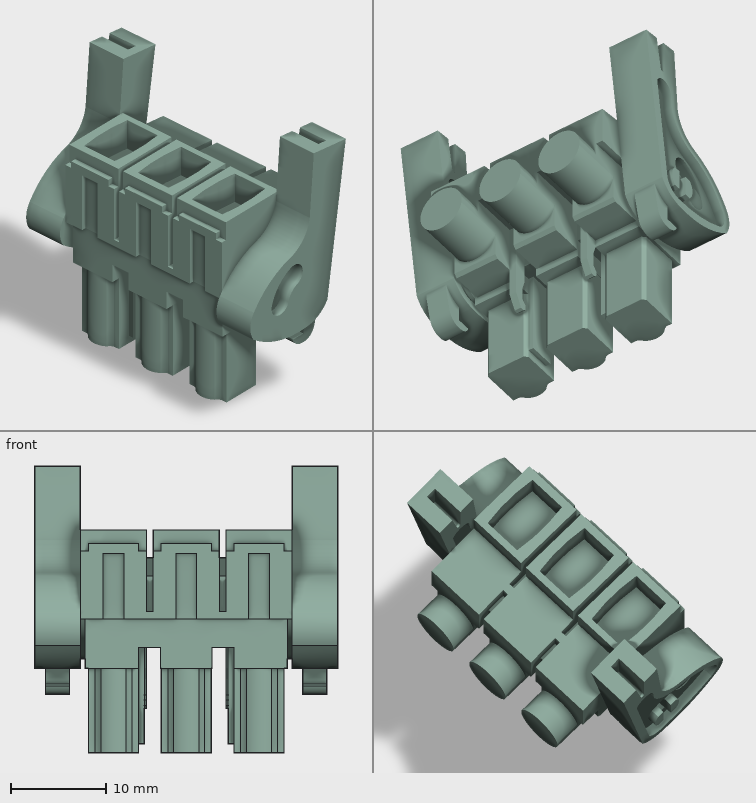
import cadquery as cq
import math


POLE_COUNT = 3
POLE_PITCH = 7.62
POLE_HALF_WIDTH = 2.65
POLE_CENTERS = [(i - (POLE_COUNT - 1) / 2) * POLE_PITCH for i in range(POLE_COUNT)]

TOTAL_WIDTH = 31.75
LEVER_WIDTH = 4.8
HOUSING_HALF_WIDTH = TOTAL_WIDTH / 2 - LEVER_WIDTH
SIDE_PAD_THICKNESS = 0.48
FRAME_HALF_WIDTH = HOUSING_HALF_WIDTH - SIDE_PAD_THICKNESS
OUTER_POLES = [POLE_CENTERS[0], POLE_CENTERS[-1]]

FACE_Y = 0.65
TALL_REAR_Y = 8.92
COVER_REAR_Y = 15.25
HOUSING_TOP_Z = 23.35
COVER_FRONT_Z = 20.63
COVER_REAR_Z = 19.93
COVER_BOTTOM_Z = 15.45
PLATE_BOTTOM_Z = 14.03
PLATE_SHOULDER_Z = 21.15
PLATE_TOP_Z = 21.93
FACE_SLOT_WIDTH = 2.15
FACE_SLOT_TOP_Z = 20.85
FACE_SLOT_DEPTH = 0.55

GAP_WIDTH = 0.7
GAP_CENTERS = [(a + b) / 2 for a, b in zip(POLE_CENTERS, POLE_CENTERS[1:])]
GAP_FLOOR_Z = 18.5
FRONT_GAP_FLOOR_Z = 14.8
FRONT_GAP_DEPTH = 1.5
BRIDGE_FRONT_Y = 10.7
BRIDGE_REAR_Y = 11.62
WEB_REAR_Y = 13.8

WELL_FRONT_Y = 1.5
WELL_REAR_Y = 8.2
WELL_END_HALF_WIDTH = 2.15
WELL_MID_HALF_WIDTH = 2.4
WELL_DEPTH = 3.55

FRAME_REAR_Y = 8.05
FRAME_BOTTOM_Z = 8.85
NOTCH_WIDTH = 2.3
NOTCH_TOP_Z = 11.0
POST_FRONT_Y = 0.73
POST_REAR_Y = 6.6
POST_SHOULDER_Y = 1.65
POST_SHOULDER_HALF_WIDTH = 1.95
POST_ARC_HALF_WIDTH = 1.33
POST_ARC_Y = 1.17
POST_FLANK_MIDDLE = (1.6, 1.45)
POST_CHAMFER = 0.38
RIB_WIDTH = 0.6
RIB_FRONT_Y = 3.17
RIB_BOTTOM_Z = 0.95
LATCH_WIDTH = 0.83

PIVOT = (7.4, 12.75)
PIVOT_RADIUS = 1.5
PIVOT_PAD_RADIUS = 2.92
PEG = (3.8, 13.7)
PEG_RADIUS = 1.33
PEG_PAD_RADIUS = 1.9
PEG_RECESS = 0.1
PIVOT_HEAD_RADIUS = 1.8
PIVOT_HEAD_HALF_HEIGHT = 1.25
PIVOT_HEAD_THICKNESS = 0.95
PIVOT_SPLIT_WIDTH = 1.1
PIVOT_SPLIT_DEPTH = 2.55

LEVER_POCKET_DEPTH = 1.08
LEVER_FLOOR = LEVER_WIDTH - LEVER_POCKET_DEPTH
LEVER_SLIT_DEPTH = 3.7
LEVER_HOOK_OFFSET = 1.1
LEVER_HOOK_WIDTH = 2.55
GUIDE_SWEEP = 53.0

PLUG_REAR_Y = 18.22
PLUG_RADIUS = 2.67
PLUG_AXIS_Z = 13.5
PLUG_BLOCK_REAR_Y = 12.15
PLUG_BLOCK_BOTTOM_Z = 9.8
PLUG_BLOCK_CHAMFER = 0.38


def box(x0, x1, y0, y1, z0, z1):
    """Box given by its limits."""
    return cq.Workplane("XY", origin=(x0, y0, z0)).box(x1 - x0, y1 - y0, z1 - z0, centered=False)


def side_plane(x):
    """Workplane at X = x whose sketch axes are Y and Z and which extrudes toward +X."""
    return cq.Workplane("YZ", origin=(x, 0, 0))


def disc(center, radius, x0, x1):
    """Cylinder along X around a (Y, Z) centre."""
    return side_plane(x0).center(*center).circle(radius).extrude(x1 - x0)


def polar(center, radius, angle):
    """(Y, Z) point at an angle in degrees from +Y around a centre."""
    turn = math.radians(angle)
    return (center[0] + radius * math.cos(turn), center[1] + radius * math.sin(turn))


def housing_shell():
    """Tall front part with the sloped rear cover, and the frame below them."""
    upper = (
        side_plane(-HOUSING_HALF_WIDTH)
        .polyline([
            (FACE_Y, PLATE_BOTTOM_Z),
            (FACE_Y, HOUSING_TOP_Z),
            (TALL_REAR_Y, HOUSING_TOP_Z),
            (TALL_REAR_Y, COVER_FRONT_Z),
            (COVER_REAR_Y, COVER_REAR_Z),
            (COVER_REAR_Y, COVER_BOTTOM_Z),
            (FRAME_REAR_Y, COVER_BOTTOM_Z),
            (FRAME_REAR_Y, PLATE_BOTTOM_Z),
        ])
        .close()
        .extrude(2 * HOUSING_HALF_WIDTH)
    )
    frame = box(
        -FRAME_HALF_WIDTH, FRAME_HALF_WIDTH, FACE_Y, FRAME_REAR_Y, FRAME_BOTTOM_Z, PLATE_BOTTOM_Z
    )
    return upper.union(frame)


def front_plate():
    """Raised plate on the front face, with a taller tab and an open slot at each pole."""
    plate = box(-HOUSING_HALF_WIDTH, HOUSING_HALF_WIDTH, 0, FACE_Y, PLATE_BOTTOM_Z, PLATE_SHOULDER_Z)
    for x in POLE_CENTERS:
        slot_x = x - FACE_SLOT_WIDTH / 2
        tab = box(x - POLE_HALF_WIDTH, x + POLE_HALF_WIDTH, 0, FACE_Y, PLATE_SHOULDER_Z, PLATE_TOP_Z)
        slot = box(
            slot_x, slot_x + FACE_SLOT_WIDTH, 0, FACE_SLOT_DEPTH, PLATE_BOTTOM_Z, FACE_SLOT_TOP_Z
        )
        plate = plate.union(tab).cut(slot)
    return plate


def pole_gap(x):
    """Stepped gap between two poles, in front of and behind the bridge that joins them."""
    x0 = x - GAP_WIDTH / 2
    x1 = x + GAP_WIDTH / 2
    gap = box(x0, x1, 0, BRIDGE_FRONT_Y, GAP_FLOOR_Z, HOUSING_TOP_Z)
    gap = gap.union(box(x0, x1, 0, FRONT_GAP_DEPTH, FRONT_GAP_FLOOR_Z, HOUSING_TOP_Z))
    gap = gap.union(box(x0, x1, BRIDGE_REAR_Y, COVER_REAR_Y, GAP_FLOOR_Z, HOUSING_TOP_Z))
    return gap.union(box(x0, x1, WEB_REAR_Y, COVER_REAR_Y, COVER_BOTTOM_Z, HOUSING_TOP_Z))


def well(x):
    """Well in the top whose two long sides bow outward."""
    middle_y = (WELL_FRONT_Y + WELL_REAR_Y) / 2
    return (
        cq.Workplane("XY", origin=(x, 0, HOUSING_TOP_Z - WELL_DEPTH))
        .moveTo(-WELL_END_HALF_WIDTH, WELL_FRONT_Y)
        .lineTo(WELL_END_HALF_WIDTH, WELL_FRONT_Y)
        .threePointArc((WELL_MID_HALF_WIDTH, middle_y), (WELL_END_HALF_WIDTH, WELL_REAR_Y))
        .lineTo(-WELL_END_HALF_WIDTH, WELL_REAR_Y)
        .threePointArc((-WELL_MID_HALF_WIDTH, middle_y), (-WELL_END_HALF_WIDTH, WELL_FRONT_Y))
        .close()
        .extrude(WELL_DEPTH)
    )


def post(x):
    """Downward post with a rounded front, hollow flanks beside it and chamfered rear corners."""
    flank_x, flank_y = POST_FLANK_MIDDLE
    return (
        cq.Workplane("XY", origin=(x, 0, 0))
        .moveTo(-POST_ARC_HALF_WIDTH, POST_ARC_Y)
        .threePointArc((0, POST_FRONT_Y), (POST_ARC_HALF_WIDTH, POST_ARC_Y))
        .threePointArc((flank_x, flank_y), (POST_SHOULDER_HALF_WIDTH, POST_SHOULDER_Y))
        .lineTo(POLE_HALF_WIDTH, POST_SHOULDER_Y)
        .lineTo(POLE_HALF_WIDTH, POST_REAR_Y - POST_CHAMFER)
        .lineTo(POLE_HALF_WIDTH - POST_CHAMFER, POST_REAR_Y)
        .lineTo(POST_CHAMFER - POLE_HALF_WIDTH, POST_REAR_Y)
        .lineTo(-POLE_HALF_WIDTH, POST_REAR_Y - POST_CHAMFER)
        .lineTo(-POLE_HALF_WIDTH, POST_SHOULDER_Y)
        .lineTo(-POST_SHOULDER_HALF_WIDTH, POST_SHOULDER_Y)
        .threePointArc((-flank_x, flank_y), (-POST_ARC_HALF_WIDTH, POST_ARC_Y))
        .close()
        .extrude(FRAME_BOTTOM_Z)
    )


def frame_notch(x):
    """Notch through the lower edge of the frame, on the inner side of an outer pole."""
    x0, x1 = inner_strip(x, NOTCH_WIDTH)
    return box(x0, x1, FACE_Y, FRAME_REAR_Y, FRAME_BOTTOM_Z, NOTCH_TOP_Z)


def inner_strip(pole_x, width):
    """X limits of a strip that starts at the inner side of an outer pole."""
    inward = -math.copysign(1, pole_x)
    edge = pole_x + inward * POLE_HALF_WIDTH
    return sorted([edge, edge + inward * width])


def post_rib(x):
    """Key rib along the inner side of an outer post."""
    x0, x1 = inner_strip(x, RIB_WIDTH)
    return box(x0, x1, RIB_FRONT_Y, POST_REAR_Y - POST_CHAMFER, RIB_BOTTOM_Z, NOTCH_TOP_Z)


def latch(x):
    """Hanging latch with a forward nib, on the inner side of an outer pole."""
    x0, x1 = inner_strip(x, LATCH_WIDTH)
    return (
        side_plane(x0)
        .polyline([
            (FRAME_REAR_Y, COVER_BOTTOM_Z),
            (FRAME_REAR_Y, FRAME_BOTTOM_Z),
            (8.4, 7.7),
            (8.4, 6.05),
            (7.9, 5.55),
            (7.9, 4.98),
            (8.3, 4.63),
            (8.7, 4.73),
            (9.6, 6.3),
            (9.6, COVER_BOTTOM_Z),
        ])
        .close()
        .extrude(x1 - x0)
    )


def side_pad(x0):
    """Pad against a lever: two discs around pivot and peg, joined along their outer tangents."""
    x1 = x0 + SIDE_PAD_THICKNESS
    span = math.dist(PIVOT, PEG)
    heading = math.degrees(math.atan2(PEG[1] - PIVOT[1], PEG[0] - PIVOT[0]))
    spread = math.degrees(math.acos((PIVOT_PAD_RADIUS - PEG_PAD_RADIUS) / span))
    link = (
        side_plane(x0)
        .polyline([
            polar(PIVOT, PIVOT_PAD_RADIUS, heading + spread),
            polar(PEG, PEG_PAD_RADIUS, heading + spread),
            polar(PEG, PEG_PAD_RADIUS, heading - spread),
            polar(PIVOT, PIVOT_PAD_RADIUS, heading - spread),
        ])
        .close()
        .extrude(SIDE_PAD_THICKNESS)
    )
    pivot_disc = disc(PIVOT, PIVOT_PAD_RADIUS, x0, x1)
    return link.union(pivot_disc).union(disc(PEG, PEG_PAD_RADIUS, x0, x1))


def left_pivot():
    """Split snap pin through the floor of the left lever, with a flattened head in its pocket."""
    floor_x = -HOUSING_HALF_WIDTH - LEVER_FLOOR
    head_x = floor_x - PIVOT_HEAD_THICKNESS
    head = disc(PIVOT, PIVOT_HEAD_RADIUS, head_x, floor_x).intersect(
        side_plane(head_x)
        .center(*PIVOT)
        .rect(2 * PIVOT_HEAD_RADIUS, 2 * PIVOT_HEAD_HALF_HEIGHT)
        .extrude(PIVOT_HEAD_THICKNESS)
    )
    split = (
        side_plane(head_x)
        .center(*PIVOT)
        .rect(PIVOT_SPLIT_WIDTH, 2 * PIVOT_HEAD_RADIUS)
        .extrude(PIVOT_SPLIT_DEPTH)
    )
    return disc(PIVOT, PIVOT_RADIUS, floor_x, -FRAME_HALF_WIDTH).union(head).cut(split)


def make_housing():
    body = housing_shell().union(front_plate())
    for x in GAP_CENTERS:
        body = body.cut(pole_gap(x))
    for x in POLE_CENTERS:
        body = body.cut(well(x)).union(post(x))
    for x in OUTER_POLES:
        body = body.cut(frame_notch(x)).union(post_rib(x)).union(latch(x))
    body = body.union(side_pad(-HOUSING_HALF_WIDTH)).union(side_pad(FRAME_HALF_WIDTH))
    peg_end = HOUSING_HALF_WIDTH + LEVER_FLOOR - PEG_RECESS
    body = body.union(disc(PEG, PEG_RADIUS, -peg_end, -FRAME_HALF_WIDTH))
    body = body.union(disc(PEG, PEG_RADIUS, FRAME_HALF_WIDTH, peg_end))
    body = body.union(left_pivot())
    return body.union(disc(PIVOT, PIVOT_RADIUS, FRAME_HALF_WIDTH, TOTAL_WIDTH / 2))


def lever_outline(x0):
    """Lever plate: a tapering handle that swells into a rounded cam."""
    return (
        side_plane(x0)
        .moveTo(14.03, 29.45)
        .lineTo(9.05, 30.03)
        .lineTo(8.4, 22.28)
        .threePointArc((7.3, 19.93), (5.4, 18.73))
        .threePointArc((2.25, 17.2), (-0.3, 14.6))
        .threePointArc((-0.83, 12.9), (-0.35, 11.27))
        .threePointArc((3.43, 9.3), (7.9, 8.9))
        .threePointArc((9.85, 9.45), (11.17, 10.75))
        .close()
        .extrude(LEVER_WIDTH)
    )


def lever_pocket(x0):
    """Shallow pocket in the -X face that leaves a rim along the lever outline."""
    return (
        side_plane(x0)
        .moveTo(12.05, 23.75)
        .threePointArc((10.85, 24.63), (9.62, 23.5))
        .lineTo(9.5, 21.9)
        .threePointArc((8.13, 19.3), (5.87, 17.9))
        .threePointArc((2.73, 16.35), (0.57, 13.95))
        .threePointArc((0.1, 12.98), (0.9, 11.27))
        .threePointArc((4.15, 10.15), (7.9, 9.85))
        .threePointArc((9.35, 10.22), (10.22, 11.33))
        .close()
        .extrude(LEVER_POCKET_DEPTH)
    )


def lever_slit(x0):
    """Wedge-shaped slit in the handle end with a rounded bottom."""
    return (
        side_plane(x0)
        .moveTo(12.25, 30.15)
        .lineTo(11.43, 25.87)
        .threePointArc((11.17, 25.68), (10.95, 25.87))
        .lineTo(10.95, 30.15)
        .close()
        .extrude(LEVER_SLIT_DEPTH)
    )


def lever_guide(x0):
    """Curved slot around the pivot that lets the lever swing past the peg."""
    radius = math.dist(PIVOT, PEG)
    start = math.degrees(math.atan2(PEG[1] - PIVOT[1], PEG[0] - PIVOT[0]))
    end = start - GUIDE_SWEEP
    middle = (start + end) / 2
    inner = radius - PEG_RADIUS
    outer = radius + PEG_RADIUS
    band = (
        side_plane(x0)
        .moveTo(*polar(PIVOT, inner, start))
        .threePointArc(polar(PIVOT, inner, middle), polar(PIVOT, inner, end))
        .lineTo(*polar(PIVOT, outer, end))
        .threePointArc(polar(PIVOT, outer, middle), polar(PIVOT, outer, start))
        .close()
        .extrude(LEVER_WIDTH)
    )
    x1 = x0 + LEVER_WIDTH
    end_disc = disc(polar(PIVOT, radius, end), PEG_RADIUS, x0, x1)
    return band.union(disc(PEG, PEG_RADIUS, x0, x1)).union(end_disc)


def lever_hook(x0):
    """Hook below the cam that points forward."""
    return (
        side_plane(x0 + LEVER_HOOK_OFFSET)
        .moveTo(10.98, 10.8)
        .lineTo(10.98, 9.9)
        .lineTo(10.38, 7.4)
        .threePointArc((9.68, 6.4), (8.63, 6.13))
        .threePointArc((7.62, 6.4), (7.08, 7.0))
        .lineTo(7.08, 7.2)
        .lineTo(8.7, 7.2)
        .lineTo(8.7, 9.52)
        .close()
        .extrude(LEVER_HOOK_WIDTH)
    )


def make_lever(x0):
    """Lever whose -X face lies at x0."""
    lever = lever_outline(x0).union(lever_hook(x0))
    lever = lever.cut(lever_pocket(x0)).cut(lever_slit(x0)).cut(lever_guide(x0))
    return lever.cut(disc(PIVOT, PIVOT_RADIUS, x0, x0 + LEVER_WIDTH))


def make_plug(x):
    """Rear plug: a round end with side flats, a neck below the cover and a block against the frame."""
    x0 = x - POLE_HALF_WIDTH
    x1 = x + POLE_HALF_WIDTH
    barrel = (
        cq.Workplane("XZ", origin=(x, PLUG_REAR_Y, PLUG_AXIS_Z))
        .circle(PLUG_RADIUS)
        .extrude(PLUG_REAR_Y - FRAME_REAR_Y)
    )
    envelope = box(x0, x1, COVER_REAR_Y, PLUG_REAR_Y, 0, HOUSING_TOP_Z)
    envelope = envelope.union(box(x0, x1, FRAME_REAR_Y, COVER_REAR_Y, 0, COVER_BOTTOM_Z))
    neck = box(x0, x1, FRAME_REAR_Y, COVER_REAR_Y, PLUG_AXIS_Z, COVER_BOTTOM_Z)
    block = (
        box(x0, x1, FRAME_REAR_Y, PLUG_BLOCK_REAR_Y, PLUG_BLOCK_BOTTOM_Z, COVER_BOTTOM_Z)
        .faces(">Y")
        .edges("<Z")
        .chamfer(PLUG_BLOCK_CHAMFER)
    )
    return barrel.intersect(envelope).union(neck).union(block)


housing = make_housing()
levers = [make_lever(x0) for x0 in (-TOTAL_WIDTH / 2, HOUSING_HALF_WIDTH)]
plugs = [make_plug(x) for x in POLE_CENTERS]

result = cq.Compound.makeCompound([
    housing.solids().val(),
    *[lever.solids().val() for lever in levers],
    *[plug.solids().val() for plug in plugs],
])